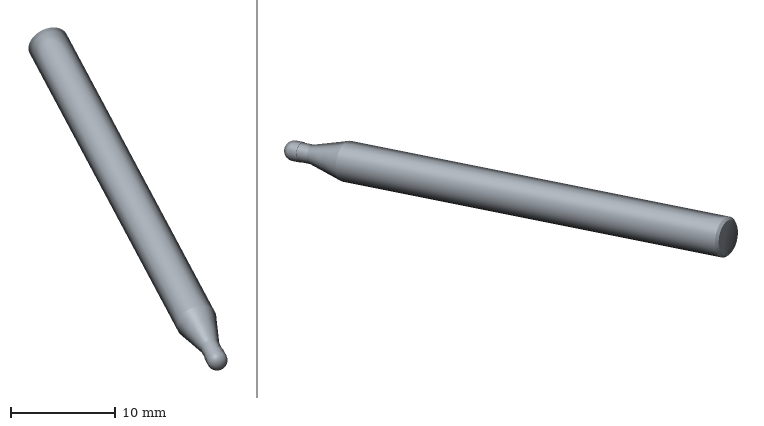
import cadquery as cq
import math

total_length = 50.0
shank_radius = 2.0
shank_chamfer = 0.25
taper_start = 43.1
neck_start = 47.0
neck_end = 48.2
neck_radius = 0.95
ball_radius = 1.0

ball_center = total_length - ball_radius
arc_mid_offset = ball_radius * math.sqrt(0.5)

profile = (
    cq.Workplane("XY")
    .moveTo(0, 0)
    .lineTo(0, shank_radius - shank_chamfer)
    .lineTo(shank_chamfer, shank_radius)
    .lineTo(taper_start, shank_radius)
    .lineTo(neck_start, neck_radius)
    .lineTo(neck_end, neck_radius)
    .lineTo(neck_end, ball_radius)
    .lineTo(ball_center, ball_radius)
    .threePointArc((ball_center + arc_mid_offset, arc_mid_offset), (total_length, 0))
    .close()
)

result = profile.revolve(360, (0, 0, 0), (1, 0, 0))